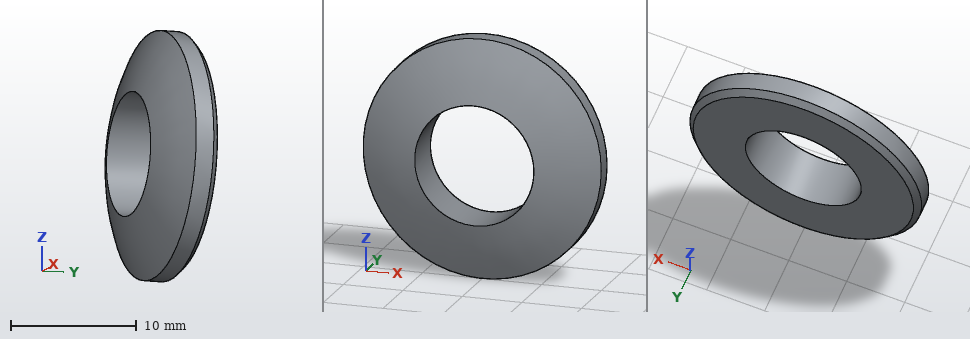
import cadquery as cq
import math

outer_radius = 10.0
bore_radius = outer_radius / 2
thickness = 4.0
dome_height = thickness / 2
back_chamfer = 0.5

back_y = 0.0
rim_y = back_y - (thickness - dome_height)
front_y = back_y - thickness

center_to_rim = (outer_radius**2 - bore_radius**2 - dome_height**2) / (2 * dome_height)
sphere_radius = math.hypot(outer_radius, center_to_rim)
sphere_center_y = rim_y + center_to_rim

mid_radius = (outer_radius + bore_radius) / 2
mid_y = sphere_center_y - math.sqrt(sphere_radius**2 - mid_radius**2)

half_section = (
    cq.Workplane("XY")
    .moveTo(bore_radius, back_y)
    .lineTo(outer_radius - back_chamfer, back_y)
    .lineTo(outer_radius, back_y - back_chamfer)
    .lineTo(outer_radius, rim_y)
    .threePointArc((mid_radius, mid_y), (bore_radius, front_y))
    .close()
)

result = half_section.revolve(360, (0, 0, 0), (0, 1, 0))